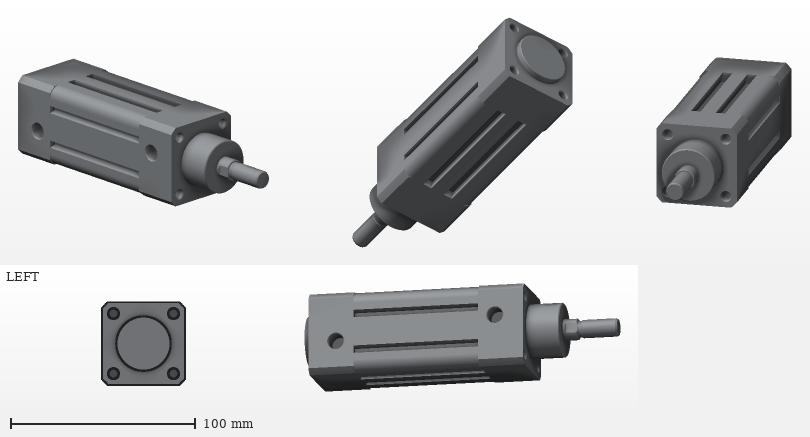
import cadquery as cq

total_length = 171.0
square_side = 45.0
cap_length = 25.0
tube_length = 69.0
rear_boss_length = 4.0
front_boss_length = 18.1

rear_cap_start = rear_boss_length
tube_start = rear_cap_start + cap_length
front_cap_start = tube_start + tube_length
front_cap_end = front_cap_start + cap_length
front_boss_end = front_cap_end + front_boss_length
half_side = square_side / 2

cap_corner_radius = 29.5
boss_radius = 14.9
rear_boss_chamfer = 0.3
front_boss_chamfer = 0.5
mount_hole_offset = 16.2
mount_hole_radius = 2.5
mount_hole_chamfer = 0.5
mount_hole_depth = 15.4
port_radius = 4.3
port_chamfer = 0.5
port_depth = 11.1
port_height = 5.0
rear_port_x = 19.2
front_port_x = 107.4

tube_corner_radius = 6.3
slot_offset = 6.8
slot_mouth_width = 5.3
slot_lip_height = 1.9
slot_undercut = 0.9
slot_depth = 5.3
groove_offset = 10.0
groove_mouth_width = 4.1
groove_floor_width = 1.9
groove_depth = 3.8

rod_radius = 6.0
spanner_radius = 5.8
spanner_width = 10.3
rod_step_start = 141.8
rod_step_end = 142.8
flat_start = 143.0
shoulder_end = 149.0
shoulder_chamfer = 0.3
neck_radius = 4.5
neck_root_radius = 4.8
neck_taper = 0.9
neck_end = 150.8
thread_start = 151.5
thread_radius = 5.0
tip_chamfer_length = 1.0
tip_radius = 4.5


def cylinder_along_x(start, end, radius):
    """Plain cylinder on the X axis."""
    return cq.Workplane("YZ").workplane(offset=start).circle(radius).extrude(end - start)


def drilled_hole(mouth, direction, radius, depth, chamfer):
    """Cutter for a blind hole with a countersunk mouth."""
    mouth = cq.Vector(*mouth)
    direction = cq.Vector(*direction)
    bore = cq.Solid.makeCylinder(radius, depth, mouth, direction)
    countersink = cq.Solid.makeCone(radius + chamfer, radius, chamfer, mouth, direction)
    return cq.Workplane(bore.fuse(countersink))


def make_cap(block_start, mount_face, inward, port_x, port_z):
    """Square cap block with four mounting holes in its outer face and a port in its -Y side.

    inward is the sign of the X direction from the mounting face into the block.
    """
    block = (
        cq.Workplane("YZ").workplane(offset=block_start)
        .rect(square_side, square_side).extrude(cap_length)
    )
    block = block.intersect(cylinder_along_x(block_start, block_start + cap_length, cap_corner_radius))
    for y in (-mount_hole_offset, mount_hole_offset):
        for z in (-mount_hole_offset, mount_hole_offset):
            mount_hole = drilled_hole(
                (mount_face, y, z), (inward, 0, 0),
                mount_hole_radius, mount_hole_depth, mount_hole_chamfer,
            )
            block = block.cut(mount_hole)
    port = drilled_hole((port_x, -half_side, port_z), (0, 1, 0), port_radius, port_depth, port_chamfer)
    return block.cut(port)


def make_rear_cap():
    """Rear cap with its short centring boss."""
    boss = cylinder_along_x(0, rear_cap_start, boss_radius)
    boss = boss.faces("<X").chamfer(rear_boss_chamfer)
    return make_cap(rear_cap_start, rear_cap_start, 1, rear_port_x, -port_height).union(boss)


def make_front_cap():
    """Front cap with the long boss that the rod comes out of."""
    boss = cylinder_along_x(front_cap_end, front_boss_end, boss_radius)
    boss = boss.faces(">X").chamfer(front_boss_chamfer)
    cap = make_cap(front_cap_start, front_cap_end, -1, front_port_x, port_height).union(boss)
    return cap.cut(cylinder_along_x(front_cap_start, front_boss_end, rod_radius))


def tube_prism(points):
    """Prism over the tube length from points in the YZ plane."""
    return cq.Workplane("YZ").workplane(offset=tube_start).polyline(points).close().extrude(tube_length)


def make_t_slot(center_y):
    """Cutter for one T-slot open to +Z."""
    mouth = slot_mouth_width / 2
    inside = mouth + slot_undercut
    lip = half_side - slot_lip_height
    floor = half_side - slot_depth
    half_profile = [(mouth, half_side), (mouth, lip), (inside, lip), (inside, floor)]
    right_side = [(center_y + y, z) for y, z in half_profile]
    left_side = [(center_y - y, z) for y, z in reversed(half_profile)]
    return tube_prism(right_side + left_side)


def make_groove(center_z):
    """Cutter for one tapered groove open to -Y."""
    mouth = groove_mouth_width / 2
    floor = groove_floor_width / 2
    floor_y = groove_depth - half_side
    return tube_prism([
        (-half_side, center_z - mouth),
        (floor_y, center_z - floor),
        (floor_y, center_z + floor),
        (-half_side, center_z + mouth),
    ])


def make_tube():
    """Profile bar between the caps: T-slots along the top and bottom, tapered grooves along both sides."""
    tube = (
        cq.Workplane("YZ").workplane(offset=tube_start)
        .rect(square_side, square_side).extrude(tube_length)
        .edges("|X").fillet(tube_corner_radius)
    )
    for side in (-1, 1):
        for cutter in (make_t_slot(side * slot_offset), make_groove(side * groove_offset)):
            opposite = cutter.rotate((0, 0, 0), (1, 0, 0), 180)
            tube = tube.cut(cutter).cut(opposite)
    return tube


def make_flat_cutter():
    """Cutter for the spanner flat on the -Y side, with a 45 degree run-out at its start."""
    flat_y = -spanner_width / 2
    outer_y = -2 * rod_radius
    run_out_length = flat_y - outer_y
    return (
        cq.Workplane("XY").workplane(offset=-rod_radius)
        .polyline([
            (flat_start, flat_y),
            (shoulder_end, flat_y),
            (shoulder_end, outer_y),
            (flat_start - run_out_length, outer_y),
        ])
        .close().extrude(2 * rod_radius)
    )


def make_rod():
    """Piston rod: plain shank seated in the front cap, spanner flats, relief neck and threaded end."""
    outline = [
        (front_cap_start, 0),
        (front_cap_start, rod_radius),
        (rod_step_start, rod_radius),
        (rod_step_end, spanner_radius),
        (shoulder_end - shoulder_chamfer, spanner_radius),
        (shoulder_end, spanner_radius - shoulder_chamfer),
        (shoulder_end, neck_root_radius),
        (shoulder_end + neck_taper, neck_radius),
        (neck_end, neck_radius),
        (thread_start, thread_radius),
        (total_length - tip_chamfer_length, thread_radius),
        (total_length, tip_radius),
        (total_length, 0),
    ]
    rod = cq.Workplane("XY").polyline(outline).close().revolve(360, (0, 0, 0), (1, 0, 0))
    flat = make_flat_cutter()
    return rod.cut(flat).cut(flat.mirror("XZ"))


rear_cap = make_rear_cap()
profile_tube = make_tube()
front_cap = make_front_cap()
piston_rod = make_rod()

result = cq.Compound.makeCompound([rear_cap.val(), profile_tube.val(), front_cap.val(), piston_rod.val()])